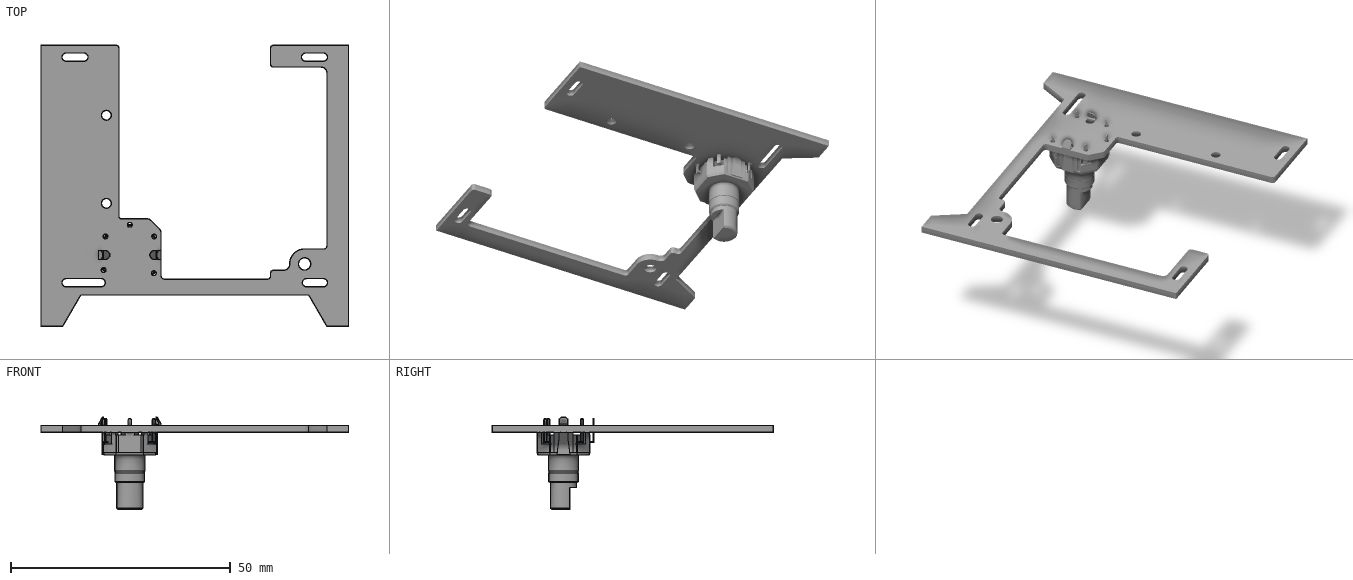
import cadquery as cq
import math

CORNER_REACH = 0.1

PLATE_WIDTH = 70.0
PLATE_DEPTH = 64.0
PLATE_THICKNESS = 1.6
LEFT_ARM_WIDTH = 17.8
RAIL_WIDTH = 5.0
HOOK_LEFT_X = 52.2
HOOK_DEPTH = 5.05
BEAM_BOTTOM_Y = 7.15
BEAM_TOP_Y = 10.8
FOOT_ROOT_WIDTH = 9.1
MOUNT_RIGHT_X = 27.4
MOUNT_TOP_Y = 24.5
MOUNT_CHAMFER = 2.7
LEDGE_Y = 12.8

BOSS_HOLE_X = 60.0
BOSS_HOLE_Y = 14.2
BOSS_HOLE_DIAMETER = 2.7
BOSS_RADIUS = 3.4

SLOT_WIDTH = 1.8
SLOT_EDGE_GAP = 4.8
SLOT_LENGTH = 5.9
LONG_SLOT_LENGTH = 9.8
SHORT_SLOT_LENGTH = 5.7
UPPER_SLOT_Y = 61.25
LOWER_SLOT_Y = 9.95

ARM_HOLE_DIAMETER = 2.2
ARM_HOLE_X = 14.9
ARM_HOLE_LOWER_Y = 28.0
ARM_HOLE_PITCH = 20.0

TINY_RADIUS = 0.5
SMALL_RADIUS = 0.7
MEDIUM_RADIUS = 1.25

SHAFT_X = 20.2
SHAFT_Y = 16.25
BODY_TOP_Z = -0.55
BODY_BOTTOM_Z = -5.2
BODY_HALF_WIDTH = 6.0
BODY_CORNER_CUT = 2.9
BASE_HEIGHT = 0.6
BASE_INSET = 0.2
LUG_PANEL_HALF_WIDTH = 2.2
PLAIN_PANEL_HALF_WIDTH = 2.5
GROOVE_END = 3.0
GROOVE_DEPTH = 0.3
PANEL_THICKNESS = 1.55
FRONT_TAB_HALF_WIDTH = 1.05
POST_WIDTH = 1.25
STANDOFF_DIAMETER = 4.0

WINDOW_BOTTOM_Z = -2.65
WINDOW_WIDTH = 2.6
WINDOW_DEPTH = 0.85
WINDOW_SHIFT = 0.7

BUSHING_DIAMETER = 6.9
BUSHING_END_Z = -11.4
BUSHING_CHAMFER = 0.3
RELIEF_TOP_Z = -8.8
RELIEF_HEIGHT = 0.35
RELIEF_DIAMETER = 6.65
THREAD_DIAMETER = 6.8
SHAFT_DIAMETER = 6.0
SHAFT_END_Z = -17.5
SHAFT_CHAMFER = 0.35
FLAT_OFFSET = 1.5
FLAT_TOP_Z = -12.5

PIN_HOLE_DIAMETER = 1.05
PIN_WIDTH = 0.85
PIN_THICKNESS = 0.2
PIN_TOP_Z = 3.2
PIN_BEND_Z = -2.0
PIN_TIP_TAPER = 0.35
PIN_ROOT_RADIUS = 4.9
PINS = [
    (0.0, 6.85, 90),
    (-5.5, 4.2, 135),
    (5.5, 4.2, 45),
    (-5.95, -3.4, 225),
    (5.45, -4.1, 315),
]

LUG_HOLE_DIAMETER = 2.0
LUG_HOLE_OFFSET = 5.6
LUG_THICKNESS = 0.3
LUG_WIDTH = 1.95
LUG_NECK_WIDTH = 1.25
LUG_ROOT_WIDTH = 2.9
LUG_TAPER_TOP_Z = -1.2
LUG_TAPER_BOTTOM_Z = -4.55
LUG_BOTTOM_Z = -5.0
LUG_TOP_Z = 3.5
LUG_TOP_OFFSET = 5.95
LUG_ELBOW_OFFSET = 7.15
LUG_TIP_CHAMFER = 0.5


def plate_blank():
    """Outline with its corner points, then every rounded corner by its radius."""
    rail_x = PLATE_WIDTH - RAIL_WIDTH
    hook_y = PLATE_DEPTH - HOOK_DEPTH
    boss_x = BOSS_HOLE_X - BOSS_RADIUS
    boss_y = BOSS_HOLE_Y + BOSS_RADIUS
    corners = [
        (0, 0, 0),
        (RAIL_WIDTH, 0, 0),
        (FOOT_ROOT_WIDTH, BEAM_BOTTOM_Y, 0),
        (PLATE_WIDTH - FOOT_ROOT_WIDTH, BEAM_BOTTOM_Y, 0),
        (rail_x, 0, 0),
        (PLATE_WIDTH, 0, 0),
        (PLATE_WIDTH, PLATE_DEPTH, 0),
        (HOOK_LEFT_X, PLATE_DEPTH, SMALL_RADIUS),
        (HOOK_LEFT_X, hook_y, SMALL_RADIUS),
        (rail_x, hook_y, MEDIUM_RADIUS),
        (rail_x, boss_y, SMALL_RADIUS),
        (boss_x, boss_y, BOSS_RADIUS),
        (boss_x, LEDGE_Y, MEDIUM_RADIUS),
        (HOOK_LEFT_X, LEDGE_Y, SMALL_RADIUS),
        (HOOK_LEFT_X, BEAM_TOP_Y, SMALL_RADIUS),
        (MOUNT_RIGHT_X, BEAM_TOP_Y, SMALL_RADIUS),
        (MOUNT_RIGHT_X, MOUNT_TOP_Y - MOUNT_CHAMFER, MEDIUM_RADIUS),
        (MOUNT_RIGHT_X - MOUNT_CHAMFER, MOUNT_TOP_Y, MEDIUM_RADIUS),
        (LEFT_ARM_WIDTH, MOUNT_TOP_Y, TINY_RADIUS),
        (LEFT_ARM_WIDTH, PLATE_DEPTH, SMALL_RADIUS),
        (0, PLATE_DEPTH, 0),
    ]
    blank = cq.Workplane("XY").polyline([(x, y) for x, y, _ in corners]).close().extrude(PLATE_THICKNESS)
    for x, y, radius in corners:
        if radius:
            corner_box = cq.selectors.BoxSelector(
                (x - CORNER_REACH, y - CORNER_REACH, -CORNER_REACH),
                (x + CORNER_REACH, y + CORNER_REACH, PLATE_THICKNESS + CORNER_REACH),
            )
            blank = blank.edges("|Z").edges(corner_box).fillet(radius)
    return blank


def drill(solid, points, diameter):
    return solid.cut(cq.Workplane("XY").pushPoints(points).circle(diameter / 2).extrude(PLATE_THICKNESS))


def cut_slot(solid, left_x, y, length):
    slot = cq.Workplane("XY").center(left_x + length / 2, y).slot2D(length, SLOT_WIDTH)
    return solid.cut(slot.extrude(PLATE_THICKNESS))


def make_plate():
    plate = plate_blank()
    right_end = PLATE_WIDTH - SLOT_EDGE_GAP
    plate = cut_slot(plate, SLOT_EDGE_GAP, UPPER_SLOT_Y, SLOT_LENGTH)
    plate = cut_slot(plate, right_end - SLOT_LENGTH, UPPER_SLOT_Y, SLOT_LENGTH)
    plate = cut_slot(plate, SLOT_EDGE_GAP, LOWER_SLOT_Y, LONG_SLOT_LENGTH)
    plate = cut_slot(plate, right_end - SHORT_SLOT_LENGTH, LOWER_SLOT_Y, SHORT_SLOT_LENGTH)

    arm_holes = [(ARM_HOLE_X, ARM_HOLE_LOWER_Y + i * ARM_HOLE_PITCH) for i in range(2)]
    pin_holes = [(SHAFT_X + x, SHAFT_Y + y) for x, y, _ in PINS]
    lug_holes = [(SHAFT_X + side * LUG_HOLE_OFFSET, SHAFT_Y) for side in (-1, 1)]
    plate = drill(plate, arm_holes, ARM_HOLE_DIAMETER)
    plate = drill(plate, [(BOSS_HOLE_X, BOSS_HOLE_Y)], BOSS_HOLE_DIAMETER)
    plate = drill(plate, pin_holes, PIN_HOLE_DIAMETER)
    return drill(plate, lug_holes, LUG_HOLE_DIAMETER).solids()


def cylinder(diameter, bottom_z, top_z):
    return cq.Workplane("XY").workplane(offset=bottom_z).circle(diameter / 2).extrude(top_z - bottom_z)


def block(x_range, y_range, z_range):
    """Box between pairs of limits."""
    lows, highs = zip(x_range, y_range, z_range)
    sizes = [high - low for low, high in zip(lows, highs)]
    return cq.Workplane("XY").box(*sizes, centered=False).translate(lows)


def turned(solid, angle):
    """Solid turned about the Z axis."""
    return solid.rotate((0, 0, 0), (0, 0, 1), angle)


def body_blank():
    """Square prism with cut corners and a bevelled band around its bottom."""
    width = 2 * BODY_HALF_WIDTH
    base_top = BODY_BOTTOM_Z + BASE_HEIGHT
    prism = cq.Workplane("XY").workplane(offset=base_top).rect(width, width).extrude(BODY_TOP_Z - base_top)
    prism = prism.edges("|Z").chamfer(BODY_CORNER_CUT)
    bevel_angle = math.degrees(math.atan2(BASE_INSET, BASE_HEIGHT))
    base = prism.faces("<Z").wires().toPending().workplane().extrude(
        BASE_HEIGHT, combine=False, taper=bevel_angle
    )
    return prism.union(base)


def cut_grooves(body):
    """Upright grooves on both sides of the middle panel of each side."""
    for quarter in range(4):
        panel = PLAIN_PANEL_HALF_WIDTH if quarter % 2 else LUG_PANEL_HALF_WIDTH
        for limits in [(panel, GROOVE_END), (-GROOVE_END, -panel)]:
            groove = block(
                (BODY_HALF_WIDTH - GROOVE_DEPTH, BODY_HALF_WIDTH),
                limits,
                (BODY_BOTTOM_Z + BASE_HEIGHT, BODY_TOP_Z),
            )
            body = body.cut(turned(groove, 90 * quarter))
    return body


def shape_corner(body, side_x, side_y):
    """Window in one corner face, open at the top, and the post that stands beside it."""
    face_distance = (2 * BODY_HALF_WIDTH - BODY_CORNER_CUT) / math.sqrt(2)
    floor_distance = face_distance - WINDOW_DEPTH
    angle = math.degrees(math.atan2(side_y, side_x))
    toward_lug = -side_x * side_y
    window_start = WINDOW_SHIFT - WINDOW_WIDTH / 2
    window_limits = sorted([toward_lug * window_start, toward_lug * (window_start + WINDOW_WIDTH)])
    post_limits = sorted([toward_lug * (window_start - POST_WIDTH), toward_lug * window_start])
    window = block((floor_distance, face_distance), window_limits, (WINDOW_BOTTOM_Z, BODY_TOP_Z))
    post = block((floor_distance, face_distance), post_limits, (BODY_TOP_Z, 0))
    return body.cut(turned(window, angle)).union(turned(post, angle))


def add_raised_panels(body):
    """Panel parts that touch the plate: one over each lug side and a short one on the -Y side."""
    raised = [(0, LUG_PANEL_HALF_WIDTH), (180, LUG_PANEL_HALF_WIDTH), (270, FRONT_TAB_HALF_WIDTH)]
    for angle, half_width in raised:
        panel = block(
            (BODY_HALF_WIDTH - PANEL_THICKNESS, BODY_HALF_WIDTH),
            (-half_width, half_width),
            (BODY_TOP_Z, 0),
        )
        body = body.union(turned(panel, angle))
    return body


def make_body():
    body = cut_grooves(body_blank())
    for side_x in (-1, 1):
        for side_y in (-1, 1):
            body = shape_corner(body, side_x, side_y)
    body = add_raised_panels(body)
    return body.union(cylinder(STANDOFF_DIAMETER, BODY_TOP_Z, 0)).clean()


def make_bushing_and_shaft():
    relief_bottom_z = RELIEF_TOP_Z - RELIEF_HEIGHT
    collar = cylinder(BUSHING_DIAMETER, RELIEF_TOP_Z, BODY_BOTTOM_Z)
    relief = cylinder(RELIEF_DIAMETER, relief_bottom_z, RELIEF_TOP_Z)
    thread = cylinder(THREAD_DIAMETER, BUSHING_END_Z, relief_bottom_z).faces("<Z").chamfer(BUSHING_CHAMFER)
    shaft = cylinder(SHAFT_DIAMETER, SHAFT_END_Z, BUSHING_END_Z).faces("<Z").chamfer(SHAFT_CHAMFER)
    flat = block((-SHAFT_DIAMETER, SHAFT_DIAMETER), (FLAT_OFFSET, SHAFT_DIAMETER), (SHAFT_END_Z, FLAT_TOP_Z))
    return collar.union(relief).union(thread).union(shaft.cut(flat))


def make_pin(x, y, angle):
    """Flat pin: a foot that leaves the body along `angle`, and a leg with a tapered tip."""
    direction = math.radians(angle)
    distance = x * math.cos(direction) + y * math.sin(direction)
    sideways = y * math.cos(direction) - x * math.sin(direction)
    half = PIN_WIDTH / 2
    leg_outline = [
        (-half, PIN_BEND_Z),
        (half, PIN_BEND_Z),
        (half, PIN_TOP_Z - PIN_TIP_TAPER),
        (half - PIN_TIP_TAPER, PIN_TOP_Z),
        (PIN_TIP_TAPER - half, PIN_TOP_Z),
        (-half, PIN_TOP_Z - PIN_TIP_TAPER),
    ]
    leg = cq.Workplane("YZ").polyline(leg_outline).close().extrude(PIN_THICKNESS / 2, both=True)
    foot = block(
        (PIN_ROOT_RADIUS - distance, PIN_THICKNESS / 2),
        (-half, half),
        (PIN_BEND_Z - PIN_THICKNESS, PIN_BEND_Z),
    )
    pin = leg.union(foot).translate((distance, sideways, 0))
    return turned(pin, angle)


def make_lug():
    """Strip on the +X side: tapered leg, neck in the plate hole, and a bent hook on top."""
    leg_outline = [
        (-LUG_ROOT_WIDTH / 2, LUG_BOTTOM_Z),
        (LUG_ROOT_WIDTH / 2, LUG_BOTTOM_Z),
        (LUG_ROOT_WIDTH / 2, LUG_TAPER_BOTTOM_Z),
        (LUG_WIDTH / 2, LUG_TAPER_TOP_Z),
        (LUG_WIDTH / 2, 0),
        (-LUG_WIDTH / 2, 0),
        (-LUG_WIDTH / 2, LUG_TAPER_TOP_Z),
        (-LUG_ROOT_WIDTH / 2, LUG_TAPER_BOTTOM_Z),
    ]
    leg = cq.Workplane("YZ").workplane(offset=BODY_HALF_WIDTH).polyline(leg_outline).close()
    leg = leg.extrude(LUG_THICKNESS)
    neck = block(
        (BODY_HALF_WIDTH, BODY_HALF_WIDTH + LUG_THICKNESS),
        (-LUG_NECK_WIDTH / 2, LUG_NECK_WIDTH / 2),
        (0, PLATE_THICKNESS),
    )
    hook_outline = [
        (BODY_HALF_WIDTH, PLATE_THICKNESS),
        (LUG_ELBOW_OFFSET, PLATE_THICKNESS),
        (LUG_ELBOW_OFFSET, PLATE_THICKNESS + LUG_THICKNESS),
        (LUG_TOP_OFFSET + LUG_THICKNESS, LUG_TOP_Z),
        (LUG_TOP_OFFSET, LUG_TOP_Z),
        (LUG_ELBOW_OFFSET - 2 * LUG_THICKNESS, PLATE_THICKNESS + LUG_THICKNESS),
        (BODY_HALF_WIDTH, PLATE_THICKNESS + LUG_THICKNESS),
    ]
    hook = cq.Workplane("XZ").polyline(hook_outline).close().extrude(LUG_WIDTH / 2, both=True)
    tip_profile = (
        cq.Workplane("YZ")
        .center(0, PLATE_THICKNESS)
        .rect(LUG_WIDTH, 2 * (LUG_TOP_Z - PLATE_THICKNESS))
        .extrude(LUG_ELBOW_OFFSET)
        .edges("|X and >Z")
        .chamfer(LUG_TIP_CHAMFER)
    )
    return leg.union(neck).union(hook.intersect(tip_profile))


def make_encoder():
    encoder = make_body().union(make_bushing_and_shaft())
    for x, y, angle in PINS:
        encoder = encoder.union(make_pin(x, y, angle))
    for angle in (0, 180):
        encoder = encoder.union(turned(make_lug(), angle))
    return encoder.translate((SHAFT_X, SHAFT_Y, 0)).solids()


plate = make_plate()
encoder = make_encoder()
result = cq.Compound.makeCompound([plate.val(), encoder.val()])